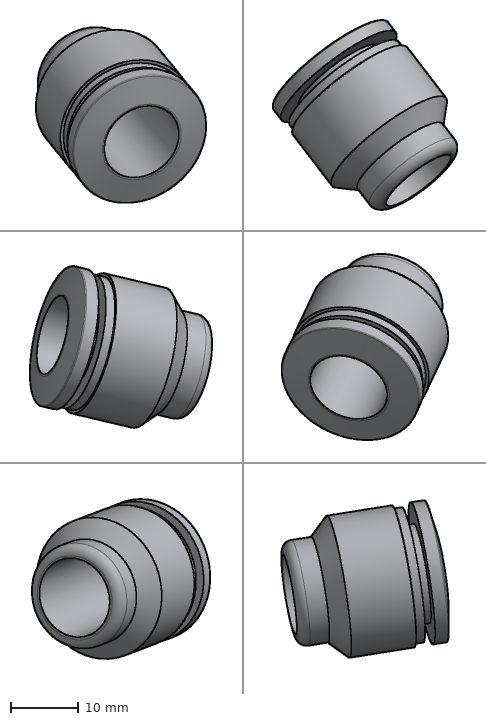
import cadquery as cq

bore_diameter = 12.0
neck_diameter = 16.0
body_diameter = 21.5
collar_diameter = 20.5
groove_diameter = 15.05
end_face_diameter = 12.65

neck_end = 4.6
body_start = 7.4
body_end = 17.25
collar_end = 18.7
ring_start = 20.1
ring_cone_start = 22.2
total_length = 23.0

neck_fillet = 1.6
ring_fillet = 0.15


def cylinder(start, end, diameter):
    """Solid cylinder along X between two positions."""
    return cq.Workplane("YZ", origin=(start, 0, 0)).circle(diameter / 2).extrude(end - start)


def cone(start, end, start_diameter, end_diameter):
    """Solid truncated cone along X between two positions."""
    profile = [
        (start, 0),
        (start, start_diameter / 2),
        (end, end_diameter / 2),
        (end, 0),
    ]
    return cq.Workplane("XY").polyline(profile).close().revolve(360, (0, 0, 0), (1, 0, 0))


neck = cylinder(0, neck_end, neck_diameter).faces("<X").edges().fillet(neck_fillet)
shoulder = cone(neck_end, body_start, neck_diameter, body_diameter)
body = cylinder(body_start, body_end, body_diameter)

collar = cylinder(body_end, collar_end, collar_diameter)
groove = cylinder(collar_end, ring_start, groove_diameter)

ring = cylinder(ring_start, ring_cone_start, body_diameter).union(
    cone(ring_cone_start, total_length, body_diameter, end_face_diameter)
)
rim = cq.selectors.BoxSelector(
    (ring_cone_start - ring_fillet, -body_diameter, -body_diameter),
    (ring_cone_start + ring_fillet, body_diameter, body_diameter),
    boundingbox=True,
)
ring = ring.edges(rim).fillet(ring_fillet)

result = neck
for section in (shoulder, body, collar, groove, ring):
    result = result.union(section)
result = result.cut(cylinder(0, total_length, bore_diameter))